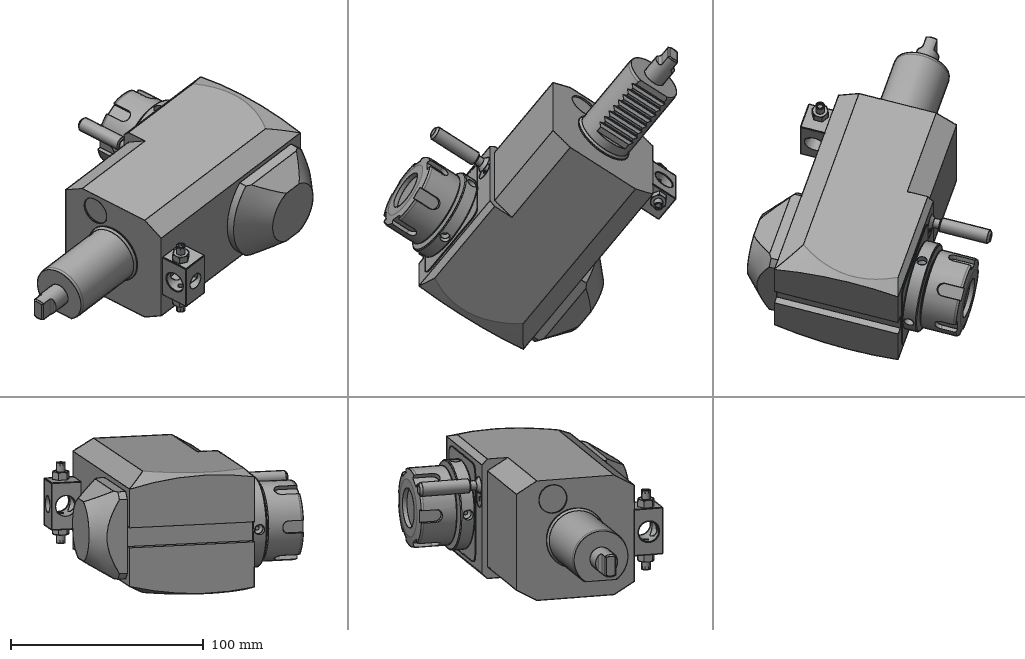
import cadquery as cq
import math


BODY_HALF_HEIGHT = 32.0
BODY_REAR = 114.0
BODY_LEFT = -32.2
BODY_RIGHT = 31.9
SIDE_CHAMFER_X = 11.0
SIDE_CHAMFER_Z = 6.3
PAD_LEFT = -35.2
PAD_FRONT = 51.4
PAD_CHAMFER = BODY_LEFT - PAD_LEFT
REAR_SLOT_WIDTH = 10.5
REAR_SLOT_DEPTH = 3.9

RELIEF_AXIS_X = -9.7
RELIEF_RADIUS = 158.4
RELIEF_CREST = 31.2
RELIEF_ANGLE = 14.0
RELIEF_LENGTH = 21.1

SPINDLE_Y = 85.2
PLATE_LEFT = -35.7
PLATE_WIDTH = 45.8
PLATE_HEIGHT = 52.8
PLATE_CORNER = 4.8
FLANGE_RADIUS = 26.5
COLLAR_RADIUS = 23.5
COLLAR_LEFT = -43.5
COLLAR_CHAMFER = 0.5
COLLAR_HOLE_X = -39.5
COLLAR_HOLE_RADIUS = 2.6
COLLAR_HOLE_TIP_RADIUS = 1.0
COLLAR_HOLE_DEPTH = 5.0
COLLAR_HOLE_TIP = 1.4
NECK_RADIUS = 16.9
NUT_RADIUS = 20.8
NUT_REAR = -44.5
NUT_REAR_CHAMFER = 0.5
NUT_SHOULDER = -62.7
NUT_RIM = -63.9
NUT_RIM_RADIUS = 20.5
NUT_FACE = -64.8
NUT_FACE_RADIUS = 15.1
NUT_SLOT_COUNT = 6
NUT_SLOT_WIDTH = 6.7
SIDE_SLOT_END = -52.6
OTHER_SLOT_END = -50.9
NUT_SLOT_FLOOR = 18.1
NUT_BORE_RADIUS = 10.4
NUT_BORE_DEPTH = 2.5

PIN_Y = 56.5
PIN_Z = 17.0
PIN_TIP = -68.0
PIN_RADIUS = 3.7
PIN_TIP_CHAMFER = 1.2
PIN_REAR = -40.5
PIN_REAR_CHAMFER = 0.7
PIN_NECK_RADIUS = 2.5
PIN_FLARE = -37.1
PIN_FLARE_RADIUS = 4.4
PLUG_Z = 9.7
PLUG_RADIUS = 4.4
PLUG_DEPTH = 0.2
PLUG_HOLE_RADIUS = 1.0
PLUG_HOLE_DEPTH = 0.9

RECESS_X = -12.3
RECESS_Z = 21.6
RECESS_RADIUS = 7.5
RECESS_DEPTH = 0.9

CAP_RADIUS = 31.2
CAP_RIM = 36.0
CAP_END = 50.3
CAP_END_RADIUS = 16.5
CAP_HALF_HEIGHT = 23.0
CAP_REAR_OFFSET = 24.3
CAP_BEVEL_START = 37.7
CAP_BEVEL_ANGLE = 30.0

SHANK_RADIUS = 15.0
SHANK_END = -44.7
SHANK_END_TAPER = 1.5
SHANK_END_RADIUS = 14.6
SHANK_FOOT_RADIUS = 16.0
SHANK_FOOT_RIM = -0.7
SHANK_FOOT_END = -2.0
FLAT_Z = -12.0
FLAT_START = -7.0
TOOTH_COUNT = 8
TOOTH_PITCH = 4.0
TOOTH_DEPTH = 1.4
FIRST_TOOTH = -11.6
TANG_RADIUS = 6.0
BLADE_START = -54.5
BLADE_END = -62.0
BLADE_THICKNESS = 6.0
BLADE_CHAMFER = 0.7
BLADE_ROOT_RADIUS = 1.4

BRACKET_RIGHT = 47.7
BRACKET_FRONT = 1.0
BRACKET_REAR = 16.4
BRACKET_HALF_HEIGHT = 12.5
BRACKET_CHAMFER = 0.4
BRACKET_HOLE_RADIUS = 5.5
BRACKET_HOLE_CHAMFER = 0.4
BRACKET_CROSS_HOLE_RADIUS = 4.4
SCREW_X = 40.0
SCREW_Y = 6.2
SCREW_RADIUS = 2.3
SCREW_TOP = 21.1
SCREW_SOCKET_RADIUS = 1.8
SCREW_SOCKET_DEPTH = 1.4
PILOT_RADIUS = 1.4
PILOT_END = 8.0
LOCKNUT_ACROSS_CORNERS = 9.0
LOCKNUT_TOP = 16.5
LOCKNUT_CHAMFER = 0.5

OVERLAP = 1.8


def box(x, y, z):
    """Box spanning the given pairs of end values."""
    size = [abs(last - first) for first, last in (x, y, z)]
    centre = tuple((first + last) / 2 for first, last in (x, y, z))
    return cq.Workplane("XY").box(*size).translate(centre)


def turn_about_x(profile, y, z):
    """Solid of revolution from (x, radius) points about an axis parallel to X."""
    closed = [(profile[0][0], 0)] + profile + [(profile[-1][0], 0)]
    turned = cq.Workplane("XY").polyline(closed).close().revolve(360, (0, 0, 0), (1, 0, 0))
    return turned.translate((0, y, z))


def turn_about_y(profile, x, z):
    """Solid of revolution from (radius, y) points about an axis parallel to Y."""
    closed = [(0, profile[0][1])] + profile + [(0, profile[-1][1])]
    turned = cq.Workplane("XY").polyline(closed).close().revolve(360, (0, 0, 0), (0, 1, 0))
    return turned.translate((x, 0, z))


def mirrored_outline(upper, start_y, end_y):
    """Prism along Y whose XZ outline is the given upper points and their mirror below Z = 0."""
    lower = [(x, -z) for x, z in reversed(upper)]
    prism = cq.Workplane("XZ").polyline(upper + lower).close().extrude(end_y - start_y)
    return prism.translate((0, end_y, 0))


def make_body():
    top = BODY_HALF_HEIGHT
    chamfer_z = top - SIDE_CHAMFER_Z
    right_points = [(BODY_RIGHT - SIDE_CHAMFER_X, top), (BODY_RIGHT, chamfer_z)]
    front_outline = [(BODY_LEFT, chamfer_z), (BODY_LEFT + SIDE_CHAMFER_X, top)] + right_points
    rear_outline = [(PAD_LEFT, top - PAD_CHAMFER), (BODY_LEFT, top)] + right_points
    body = mirrored_outline(front_outline, 0, PAD_FRONT)
    body = body.union(mirrored_outline(rear_outline, PAD_FRONT, BODY_REAR))

    start_y = BODY_REAR - RELIEF_LENGTH
    start_radius = RELIEF_RADIUS + RELIEF_LENGTH * math.tan(math.radians(RELIEF_ANGLE))
    cone_profile = [(start_radius, start_y), (RELIEF_RADIUS, BODY_REAR)]
    for side in (1, -1):
        cone = turn_about_y(cone_profile, RELIEF_AXIS_X, side * (RELIEF_CREST - RELIEF_RADIUS))
        half_rear = box(
            (PAD_LEFT - OVERLAP, BODY_RIGHT + OVERLAP),
            (start_y, BODY_REAR),
            (0, side * (BODY_HALF_HEIGHT + OVERLAP)),
        )
        body = body.cut(half_rear.cut(cone))

    slot = box(
        (PAD_LEFT - OVERLAP, BODY_RIGHT + OVERLAP),
        (BODY_REAR - REAR_SLOT_DEPTH, BODY_REAR + OVERLAP),
        (-REAR_SLOT_WIDTH / 2, REAR_SLOT_WIDTH / 2),
    )
    recess = turn_about_y(
        [(RECESS_RADIUS, -OVERLAP), (RECESS_RADIUS, RECESS_DEPTH)], RECESS_X, RECESS_Z
    )
    plug = turn_about_x(
        [
            (PAD_LEFT - OVERLAP, PLUG_RADIUS),
            (PAD_LEFT + PLUG_DEPTH, PLUG_RADIUS),
            (PAD_LEFT + PLUG_DEPTH, PLUG_HOLE_RADIUS),
            (PAD_LEFT + PLUG_HOLE_DEPTH, PLUG_HOLE_RADIUS),
        ],
        PIN_Y,
        PLUG_Z,
    )
    return body.cut(slot).cut(recess).cut(plug)


def make_flange():
    plate = box(
        (PLATE_LEFT, PAD_LEFT + OVERLAP),
        (SPINDLE_Y - PLATE_WIDTH / 2, SPINDLE_Y + PLATE_WIDTH / 2),
        (-PLATE_HEIGHT / 2, PLATE_HEIGHT / 2),
    ).edges("|X").fillet(PLATE_CORNER)
    disc = turn_about_x(
        [(PLATE_LEFT, FLANGE_RADIUS), (PAD_LEFT + OVERLAP, FLANGE_RADIUS)], SPINDLE_Y, 0
    )
    band = box(
        (PLATE_LEFT, PAD_LEFT + OVERLAP),
        (SPINDLE_Y - PLATE_WIDTH / 2, SPINDLE_Y + PLATE_WIDTH / 2),
        (-FLANGE_RADIUS, FLANGE_RADIUS),
    )
    return plate.union(disc.intersect(band))


def make_collar():
    small = COLLAR_RADIUS - COLLAR_CHAMFER
    collar = turn_about_x(
        [
            (COLLAR_LEFT, small),
            (COLLAR_LEFT + COLLAR_CHAMFER, COLLAR_RADIUS),
            (PLATE_LEFT - COLLAR_CHAMFER, COLLAR_RADIUS),
            (PLATE_LEFT, small),
            (PLATE_LEFT + OVERLAP, small),
        ],
        SPINDLE_Y,
        0,
    )
    hole_profile = [
        (0, COLLAR_RADIUS + OVERLAP),
        (COLLAR_HOLE_RADIUS, COLLAR_RADIUS + OVERLAP),
        (COLLAR_HOLE_RADIUS, COLLAR_RADIUS - COLLAR_HOLE_DEPTH + COLLAR_HOLE_TIP),
        (COLLAR_HOLE_TIP_RADIUS, COLLAR_RADIUS - COLLAR_HOLE_DEPTH),
        (0, COLLAR_RADIUS - COLLAR_HOLE_DEPTH),
    ]
    hole = cq.Workplane("XZ").polyline(hole_profile).close().revolve(360, (0, 0, 0), (0, 1, 0))
    hole = hole.translate((COLLAR_HOLE_X, 0, 0))
    for angle in range(0, 360, 90):
        turned_hole = hole.rotate((0, 0, 0), (1, 0, 0), angle)
        collar = collar.cut(turned_hole.translate((0, SPINDLE_Y, 0)))
    return collar


def make_nut_slot(slot_end):
    """Cutter for a round-ended spanner slot on the -Y side of a nut centred on the X axis."""
    half_width = NUT_SLOT_WIDTH / 2
    straight_end = slot_end - half_width
    return (
        cq.Workplane("XZ", origin=(0, -NUT_SLOT_FLOOR, 0))
        .moveTo(NUT_FACE - OVERLAP, -half_width)
        .lineTo(straight_end, -half_width)
        .threePointArc((slot_end, 0), (straight_end, half_width))
        .lineTo(NUT_FACE - OVERLAP, half_width)
        .close()
        .extrude(NUT_RADIUS + OVERLAP - NUT_SLOT_FLOOR)
    )


def make_nut():
    nut = turn_about_x(
        [
            (NUT_FACE, NUT_FACE_RADIUS),
            (NUT_RIM, NUT_RIM_RADIUS),
            (NUT_SHOULDER, NUT_RADIUS),
            (NUT_REAR - NUT_REAR_CHAMFER, NUT_RADIUS),
            (NUT_REAR, NUT_RADIUS - NUT_REAR_CHAMFER),
            (NUT_REAR, NECK_RADIUS),
            (COLLAR_LEFT + OVERLAP, NECK_RADIUS),
        ],
        SPINDLE_Y,
        0,
    )
    bore = turn_about_x(
        [(NUT_FACE - OVERLAP, NUT_BORE_RADIUS), (NUT_FACE + NUT_BORE_DEPTH, NUT_BORE_RADIUS)],
        SPINDLE_Y,
        0,
    )
    nut = nut.cut(bore)

    for index in range(NUT_SLOT_COUNT):
        faces_sideways = index % (NUT_SLOT_COUNT // 2) == 0
        slot = make_nut_slot(SIDE_SLOT_END if faces_sideways else OTHER_SLOT_END)
        turned_slot = slot.rotate((0, 0, 0), (1, 0, 0), index * 360 / NUT_SLOT_COUNT)
        nut = nut.cut(turned_slot.translate((0, SPINDLE_Y, 0)))
    return nut


def make_pin():
    return turn_about_x(
        [
            (PIN_TIP, PIN_RADIUS - PIN_TIP_CHAMFER),
            (PIN_TIP + PIN_TIP_CHAMFER, PIN_RADIUS),
            (PIN_REAR - PIN_REAR_CHAMFER, PIN_RADIUS),
            (PIN_REAR, PIN_RADIUS - PIN_REAR_CHAMFER),
            (PIN_REAR, PIN_NECK_RADIUS),
            (PIN_FLARE, PIN_NECK_RADIUS),
            (PAD_LEFT, PIN_FLARE_RADIUS),
            (PAD_LEFT + OVERLAP, PIN_FLARE_RADIUS),
        ],
        PIN_Y,
        PIN_Z,
    )


def make_cap():
    cap = turn_about_x(
        [
            (BODY_RIGHT - OVERLAP, CAP_RADIUS),
            (CAP_RIM, CAP_RADIUS),
            (CAP_END, CAP_END_RADIUS),
        ],
        SPINDLE_Y,
        0,
    )
    bevel_drop = (CAP_END - CAP_BEVEL_START) * math.tan(math.radians(CAP_BEVEL_ANGLE))
    envelope = mirrored_outline(
        [
            (BODY_RIGHT - OVERLAP, CAP_HALF_HEIGHT),
            (CAP_BEVEL_START, CAP_HALF_HEIGHT),
            (CAP_END, CAP_HALF_HEIGHT - bevel_drop),
        ],
        SPINDLE_Y - CAP_RADIUS,
        SPINDLE_Y + CAP_REAR_OFFSET,
    )
    return cap.intersect(envelope)


def make_shank():
    shank = turn_about_y(
        [
            (SHANK_FOOT_RADIUS, OVERLAP),
            (SHANK_FOOT_RADIUS, SHANK_FOOT_RIM),
            (SHANK_RADIUS, SHANK_FOOT_END),
            (SHANK_RADIUS, SHANK_END + SHANK_END_TAPER),
            (SHANK_END_RADIUS, SHANK_END),
        ],
        0,
        0,
    )
    shank = shank.cut(
        box(
            (-SHANK_FOOT_RADIUS, SHANK_FOOT_RADIUS),
            (SHANK_END - OVERLAP, FLAT_START),
            (-SHANK_FOOT_RADIUS, FLAT_Z),
        )
    )
    for index in range(TOOTH_COUNT):
        groove_y = FIRST_TOOTH - index * TOOTH_PITCH
        groove = (
            cq.Workplane("YZ")
            .polyline(
                [
                    (groove_y - TOOTH_DEPTH, FLAT_Z),
                    (groove_y, FLAT_Z + TOOTH_DEPTH),
                    (groove_y + TOOTH_DEPTH, FLAT_Z),
                ]
            )
            .close()
            .extrude(SHANK_RADIUS, both=True)
        )
        shank = shank.cut(groove)
    return shank


def make_tang():
    tang = turn_about_y(
        [(TANG_RADIUS, SHANK_END + OVERLAP), (TANG_RADIUS, BLADE_END)], 0, 0
    )
    flat_cutter = (
        box(
            (BLADE_THICKNESS / 2, TANG_RADIUS + OVERLAP),
            (BLADE_END - OVERLAP, BLADE_START),
            (-TANG_RADIUS, TANG_RADIUS),
        )
        .edges("<X and >Y")
        .fillet(BLADE_ROOT_RADIUS)
    )
    tang = tang.cut(flat_cutter).cut(flat_cutter.mirror("YZ"))
    return tang.faces("<Y").edges().chamfer(BLADE_CHAMFER)


def make_bracket():
    bracket = box(
        (BODY_RIGHT - OVERLAP, BRACKET_RIGHT),
        (BRACKET_FRONT, BRACKET_REAR),
        (-BRACKET_HALF_HEIGHT, BRACKET_HALF_HEIGHT),
    ).edges().chamfer(BRACKET_CHAMFER)

    screw_base = cq.Workplane("XY", origin=(SCREW_X, SCREW_Y, BRACKET_HALF_HEIGHT - OVERLAP))
    screw = screw_base.circle(SCREW_RADIUS).extrude(SCREW_TOP - BRACKET_HALF_HEIGHT + OVERLAP)
    socket = (
        cq.Workplane("XY", origin=(SCREW_X, SCREW_Y, SCREW_TOP))
        .polygon(6, 2 * SCREW_SOCKET_RADIUS)
        .extrude(-SCREW_SOCKET_DEPTH)
    )
    locknut = screw_base.polygon(6, LOCKNUT_ACROSS_CORNERS).extrude(
        LOCKNUT_TOP - BRACKET_HALF_HEIGHT + OVERLAP
    )
    rounding = (
        screw_base.circle(LOCKNUT_ACROSS_CORNERS / 2)
        .extrude(LOCKNUT_TOP - BRACKET_HALF_HEIGHT + OVERLAP)
        .faces(">Z")
        .chamfer(LOCKNUT_CHAMFER)
    )
    locknut = locknut.intersect(rounding)
    fastener = screw.cut(socket).union(locknut)
    bracket = bracket.union(fastener).union(fastener.mirror("XY"))

    hole = turn_about_y(
        [
            (BRACKET_HOLE_RADIUS + BRACKET_HOLE_CHAMFER, BRACKET_FRONT),
            (BRACKET_HOLE_RADIUS, BRACKET_FRONT + BRACKET_HOLE_CHAMFER),
            (BRACKET_HOLE_RADIUS, BRACKET_REAR + OVERLAP),
        ],
        SCREW_X,
        0,
    )
    cross_hole = turn_about_x(
        [
            (BODY_RIGHT, BRACKET_CROSS_HOLE_RADIUS),
            (BRACKET_RIGHT + OVERLAP, BRACKET_CROSS_HOLE_RADIUS),
        ],
        (BRACKET_FRONT + BRACKET_REAR) / 2,
        0,
    )
    pilot = cq.Workplane("XY", origin=(SCREW_X, SCREW_Y, 0)).circle(PILOT_RADIUS)
    pilots = pilot.extrude(PILOT_END, both=True)
    return bracket.cut(hole).cut(cross_hole).cut(pilots)


result = make_body()
for part in (
    make_flange(),
    make_collar(),
    make_nut(),
    make_pin(),
    make_cap(),
    make_shank(),
    make_tang(),
    make_bracket(),
):
    result = result.union(part)